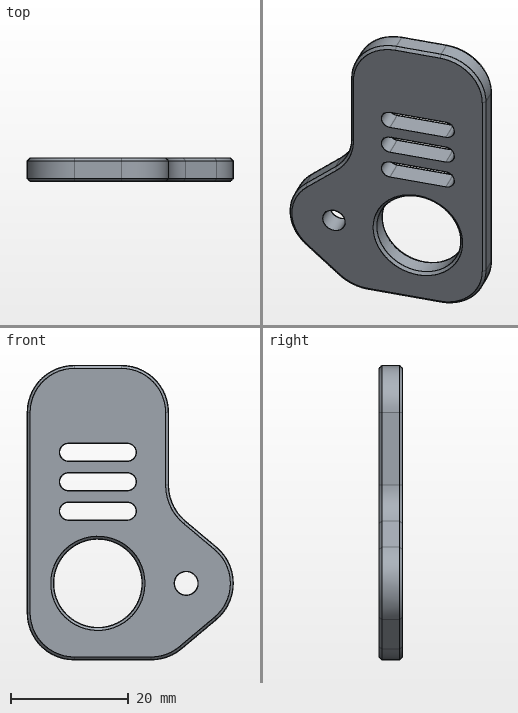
import cadquery as cq
import math

height = 50.0
body_width = 24.0
thickness = 4.0
corner_radius = 8.0
edge_chamfer = 0.5

hole_x = body_width / 2
hole_z = 13.0
finger_hole_diameter = 15.0
ear_x = 27.0
ear_hole_diameter = 4.0
ear_slope = math.radians(40)

slot_length = 13.0
slot_width = 3.0
slot_pitch = 5.0
slot_count = 3
lowest_slot_z = 25.25


def on_circle(center, angle):
    """Point on a circle of the common corner radius."""
    return (
        center[0] + corner_radius * math.cos(angle),
        center[1] + corner_radius * math.sin(angle),
    )


def back_plane():
    """Sketch plane on the back face; positive extrusion runs through to the front."""
    return cq.Workplane("XZ", origin=(0, thickness, 0))


def make_plate():
    """Rounded plate with a side ear, still without holes and chamfers."""
    flank_normal = math.pi / 2 - ear_slope
    ear_center = (ear_x, hole_z)

    lower_center = (ear_x - (hole_z - corner_radius) / math.tan(ear_slope), corner_radius)

    neck_x = body_width + corner_radius
    neck_rise = (2 * corner_radius - (neck_x - ear_x) * math.cos(flank_normal)) / math.sin(flank_normal)
    neck_center = (neck_x, hole_z + neck_rise)

    left_low = (corner_radius, corner_radius)
    left_high = (corner_radius, height - corner_radius)
    right_high = (body_width - corner_radius, height - corner_radius)
    diagonal = math.pi / 4

    outline = (
        back_plane()
        .moveTo(corner_radius, 0)
        .lineTo(lower_center[0], 0)
        .threePointArc(
            on_circle(lower_center, -(math.pi / 2 + flank_normal) / 2),
            on_circle(lower_center, -flank_normal),
        )
        .lineTo(*on_circle(ear_center, -flank_normal))
        .threePointArc(on_circle(ear_center, 0), on_circle(ear_center, flank_normal))
        .lineTo(*on_circle(neck_center, math.pi + flank_normal))
        .threePointArc(
            on_circle(neck_center, math.pi + flank_normal / 2),
            on_circle(neck_center, math.pi),
        )
        .lineTo(body_width, height - corner_radius)
        .threePointArc(on_circle(right_high, diagonal), on_circle(right_high, math.pi / 2))
        .lineTo(corner_radius, height)
        .threePointArc(on_circle(left_high, 3 * diagonal), on_circle(left_high, math.pi))
        .lineTo(0, corner_radius)
        .threePointArc(on_circle(left_low, 5 * diagonal), on_circle(left_low, 6 * diagonal))
        .close()
    )
    return outline.extrude(thickness)


finger_hole = back_plane().center(hole_x, hole_z).circle(finger_hole_diameter / 2).extrude(thickness)
ear_hole = back_plane().center(ear_x, hole_z).circle(ear_hole_diameter / 2).extrude(thickness)
slot_centers = [(hole_x, lowest_slot_z + i * slot_pitch) for i in range(slot_count)]
slots = back_plane().pushPoints(slot_centers).slot2D(slot_length, slot_width).extrude(thickness)

result = (
    make_plate()
    .cut(finger_hole)
    .faces("<Y or >Y")
    .edges()
    .chamfer(edge_chamfer)
    .cut(ear_hole)
    .cut(slots)
)